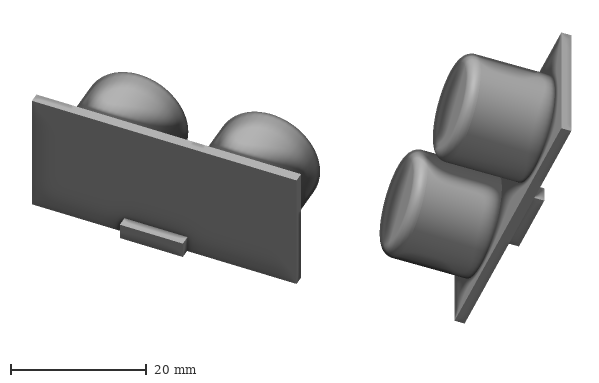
import cadquery as cq

plate_length = 43.0
plate_height = 20.0
plate_thickness = 1.6

can_diameter = 16.5
can_depth = 13.37
can_spacing = 21.4
can_edge_radius = 1.65

connector_length = 10.25
connector_height = 2.6
connector_depth = 1.65
connector_offset_x = -1.35
connector_bottom_gap = 0.15


def make_plate():
    return cq.Workplane("XY").box(
        plate_length, plate_thickness, plate_height, centered=(True, False, True)
    )


def make_can(center_x):
    """Cylinder along +Y, sunk through the plate, with a rounded far rim."""
    return (
        cq.Workplane("XZ")
        .center(center_x, 0)
        .circle(can_diameter / 2)
        .extrude(-(plate_thickness + can_depth))
        .faces(">Y")
        .edges()
        .fillet(can_edge_radius)
    )


def make_connector():
    bottom_z = -plate_height / 2 + connector_bottom_gap
    return (
        cq.Workplane("XY")
        .box(connector_length, connector_depth, connector_height, centered=(True, False, False))
        .translate((connector_offset_x, -connector_depth, bottom_z))
    )


result = make_plate().union(make_connector())
for side in (-1, 1):
    result = result.union(make_can(side * can_spacing / 2))